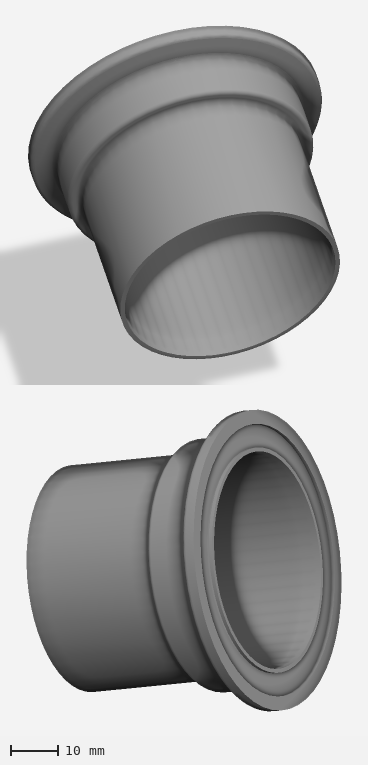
import cadquery as cq
import math

total_length = 45.0
flange_diameter = 64.0
collar_diameter = 54.0
pipe_diameter = 48.3
pipe_wall = 1.0
bore_diameter = pipe_diameter - 2 * pipe_wall

rim_thickness = 2.7
cone_angle = 15.0
collar_end = 14.2
edge_radius = 0.9

recess_outer_diameter = 58.0
recess_inner_diameter = 48.0
recess_depth = 0.8


def make_body():
    """Solid flange, collar and pipe, with sharp edges."""
    flange_radius = flange_diameter / 2
    collar_radius = collar_diameter / 2
    pipe_radius = pipe_diameter / 2
    cone_length = (flange_radius - collar_radius) * math.tan(math.radians(cone_angle))
    return (
        cq.Workplane("XZ")
        .lineTo(0, flange_radius)
        .lineTo(rim_thickness, flange_radius)
        .lineTo(rim_thickness + cone_length, collar_radius)
        .lineTo(collar_end, collar_radius)
        .lineTo(collar_end, pipe_radius)
        .lineTo(total_length, pipe_radius)
        .lineTo(total_length, 0)
        .close()
        .revolve(360, (0, 0, 0), (1, 0, 0))
    )


def round_steps(body):
    """Round every circular edge except those of the two end faces."""
    step_edges = body.edges("%CIRCLE").edges("not (<X or >X)")
    return step_edges.fillet(edge_radius)


def make_bore():
    """Through bore along the X axis."""
    return cq.Workplane("YZ").circle(bore_diameter / 2).extrude(total_length)


def make_face_recess():
    """Ring removed from the flange face, leaving a lip on each side."""
    return (
        cq.Workplane("YZ")
        .circle(recess_outer_diameter / 2)
        .circle(recess_inner_diameter / 2)
        .extrude(recess_depth)
    )


result = round_steps(make_body()).cut(make_bore()).cut(make_face_recess())